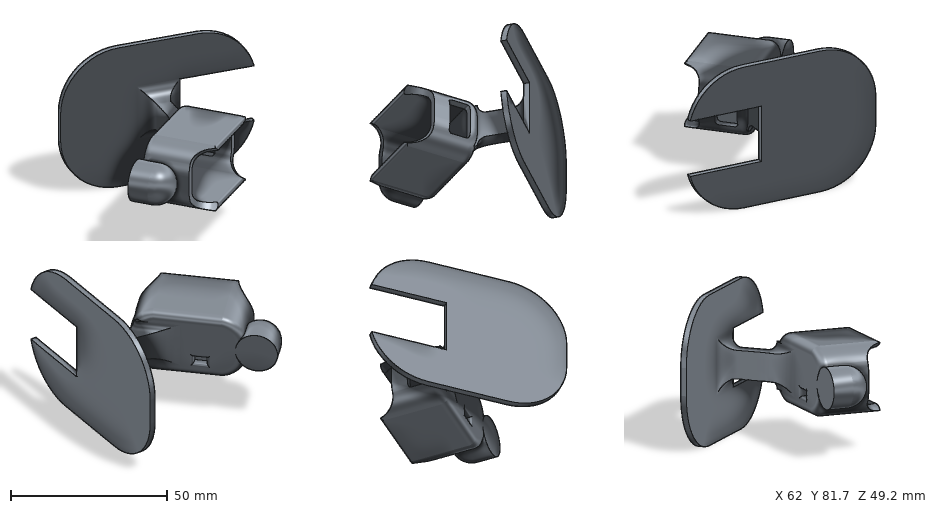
import cadquery as cq
import math


cradle_depth = 23.5
cradle_length = 37.5
cradle_height = 22.9
cradle_corner_radius = 9.15
end_flat_height = 4.9
wall = 2.3
back_edge_radius = 2.9
rim_radius = 1.1

scoop_start = 16.75
scoop_half_height = 7.1
scoop_radius = 8.6
scoop_depth = 9.8
scoop_angle = 35.0

slot_width = 7.5
slot_height = 12.9
slot_centre_x = 7.4
slot_corner_radius = 1.2

window_y = -4.25
window_z = -5.3
window_width = 4.25
window_height = 2.4
window_edge_radius = 1.15

knob_radius = 6.9
knob_length = 6.9
knob_y = -22.55

plate_length = 67.5
plate_height = 49.25
plate_thickness = 2.0
plate_corner_radius = 20.0
plate_back = -30.8
plate_front = plate_back + plate_thickness

arm_offset = 10.05
arm_thickness = 5.0
arm_height = 9.4
arm_bend_radius = 20.4
arm_root_radius = 5.0
arm_joint_radius = 3.0

cos_45 = math.sqrt(0.5)
plate_plane = cq.Plane(origin=(0, 0, 0), xDir=(1, 1, 0), normal=(1, -1, 0))


def cradle_outline():
    """Closed YZ outline: flat long sides and ends joined by arcs tangent to the ends."""
    half_length = cradle_length / 2
    half_height = cradle_height / 2
    half_flat = end_flat_height / 2
    arc_rise = half_height - half_flat
    arc_centre = half_length - cradle_corner_radius
    side_end = arc_centre + math.sqrt(cradle_corner_radius**2 - arc_rise**2)
    return (
        cq.Workplane("YZ")
        .moveTo(-side_end, half_height)
        .lineTo(side_end, half_height)
        .radiusArc((half_length, half_flat), cradle_corner_radius)
        .lineTo(half_length, -half_flat)
        .radiusArc((side_end, -half_height), cradle_corner_radius)
        .lineTo(-side_end, -half_height)
        .radiusArc((-half_length, -half_flat), cradle_corner_radius)
        .lineTo(-half_length, half_flat)
        .radiusArc((-side_end, half_height), cradle_corner_radius)
        .close()
    )


def end_scoop():
    """Scoop at the +Y end: U-shaped in XZ, narrowing toward the middle of the cradle."""
    far_end = scoop_start + scoop_radius
    profile = (
        cq.Workplane("XZ", origin=(0, cradle_length / 2, 0))
        .moveTo(scoop_start, -cradle_height)
        .lineTo(scoop_start, scoop_half_height)
        .radiusArc((far_end, scoop_half_height + scoop_radius), scoop_radius)
        .lineTo(far_end, -cradle_height)
        .close()
        .wires()
        .val()
    )
    narrowing = scoop_depth * math.tan(math.radians(scoop_angle))
    slanted_sweep = cq.Vector(0, -scoop_depth, -narrowing)
    below_top = cq.Workplane(cq.Solid.extrudeLinear(cq.Face.makeFromWires(profile), slanted_sweep))
    above_bottom = below_top.mirror("XY")
    return below_top.intersect(above_bottom)


def end_slot():
    return (
        cq.Workplane("XZ", origin=(slot_centre_x, cradle_length / 2, 0))
        .rect(slot_width, slot_height)
        .extrude(2 * wall)
        .edges("|Y")
        .fillet(slot_corner_radius)
    )


def with_window(shell):
    """Cut the window through the back and round its outer edges."""
    opening = cq.Workplane("YZ", origin=(0, window_y, window_z)).rect(window_width, window_height)
    pierced = shell.cut(opening.extrude(wall))
    around_window = cq.selectors.BoxSelector(
        (-wall, window_y - window_width, window_z - window_height),
        (wall / 2, window_y + window_width, window_z + window_height),
    )
    return pierced.faces("<X").edges(around_window).fillet(window_edge_radius)


def knob():
    barrel = cq.Workplane("YZ", origin=(0, knob_y, 0)).circle(knob_radius).extrude(knob_length)
    nose = cq.Workplane("XY", origin=(knob_length, knob_y, 0)).sphere(knob_radius)
    return barrel.union(nose)


def plate():
    """Rounded plate with a slot running from the arm's root out through the +Y end."""
    slab = (
        cq.Workplane(plate_plane)
        .workplane(offset=plate_back)
        .center(arm_offset, 0)
        .sketch()
        .rect(plate_length, plate_height)
        .vertices()
        .fillet(plate_corner_radius)
        .finalize()
        .extrude(plate_thickness)
    )
    slot_start = arm_offset + arm_thickness / 2 + arm_root_radius
    cutter = (
        cq.Workplane(plate_plane)
        .workplane(offset=plate_back)
        .center(slot_start + plate_length / 2, 0)
        .rect(plate_length, arm_height + 2 * arm_root_radius)
        .extrude(plate_thickness)
    )
    return slab.cut(cutter)


def plate_to_xy(along, out):
    """XY position of a point given along the plate and out along its normal."""
    return ((along + out) * cos_45, (along - out) * cos_45)


def arm_slab(height):
    """The arm's XY outline raised to a height centred on Z = 0.

    It runs straight from the plate and bends into the cradle's back.
    """
    lower = arm_offset - arm_thickness / 2
    upper = arm_offset + arm_thickness / 2
    bend_end_y = lower / cos_45 - (1 / cos_45 - 1) * arm_bend_radius
    bend_start = (
        arm_bend_radius * (cos_45 - 1),
        bend_end_y + arm_bend_radius * cos_45,
    )
    inside_x = back_edge_radius
    return (
        cq.Workplane("XY", origin=(0, 0, -height / 2))
        .moveTo(*plate_to_xy(upper, plate_front))
        .lineTo(*plate_to_xy(lower, plate_front))
        .lineTo(*bend_start)
        .radiusArc((0, bend_end_y), arm_bend_radius)
        .lineTo(inside_x, bend_end_y)
        .lineTo(inside_x, upper / cos_45 - inside_x)
        .close()
        .extrude(height)
    )


def flared_section(plane, half_width, radius, foot):
    """Section in the plane's local axes: width flares by radius from y = radius down to y = 0.

    The wide end continues below y = 0 by the foot length.
    """
    wide = half_width + radius
    return (
        cq.Workplane(plane)
        .moveTo(-half_width, radius)
        .lineTo(half_width, radius)
        .radiusArc((wide, 0), -radius)
        .lineTo(wide, -foot)
        .lineTo(-wide, -foot)
        .lineTo(-wide, 0)
        .radiusArc((-half_width, radius), -radius)
        .close()
    )


def arm_root():
    """Four-sided flare with mitred corners where the arm leaves the plate."""
    origin = (*plate_to_xy(arm_offset, plate_front), 0)
    across = cq.Plane(origin=origin, xDir=(1, 1, 0), normal=(0, 0, -1))
    upright = cq.Plane(origin=origin, xDir=(0, 0, 1), normal=(1, 1, 0))
    reach = arm_height + 2 * arm_root_radius
    across_flare = flared_section(across, arm_thickness / 2, arm_root_radius, plate_thickness / 2)
    upright_flare = flared_section(upright, arm_height / 2, arm_root_radius, plate_thickness / 2)
    return across_flare.extrude(reach, both=True).intersect(upright_flare.extrude(reach, both=True))


def arm_joint():
    """Flares above and below the arm along the cradle's back and around its rounded edge."""
    back_flat_end = cradle_length / 2 - back_edge_radius
    plane = cq.Plane(origin=(0, back_flat_end, 0), xDir=(0, 0, 1), normal=(0, -1, 0))
    sizes = (arm_height / 2, arm_joint_radius, back_edge_radius)
    along_back = flared_section(plane, *sizes).extrude(cradle_length / 2)
    edge_axis = ((0, -back_edge_radius, 0), (-1, -back_edge_radius, 0))
    around_edge = flared_section(plane, *sizes).revolve(90, *edge_axis)
    return along_back.union(around_edge)


def arm():
    joint = arm_joint().intersect(arm_slab(cradle_height))
    return arm_slab(arm_height).union(joint).union(arm_root())


def cavity():
    inside = cradle_outline().offset2D(-wall).extrude(cradle_depth)
    return inside.translate((wall, 0, 0))


def cradle():
    block = cradle_outline().extrude(cradle_depth).faces("<X").edges().fillet(back_edge_radius)
    scoop = end_scoop()
    shell = block.cut(cavity()).cut(scoop).cut(scoop.mirror("XZ"))
    rounded = shell.faces(">X").edges("|Y").fillet(rim_radius)
    return with_window(rounded.cut(end_slot()))


def cradle_attachments():
    """Arm, plate and knob, trimmed so that nothing reaches into the cavity."""
    return plate().union(arm()).union(knob()).cut(cavity())


result = cradle().union(cradle_attachments())